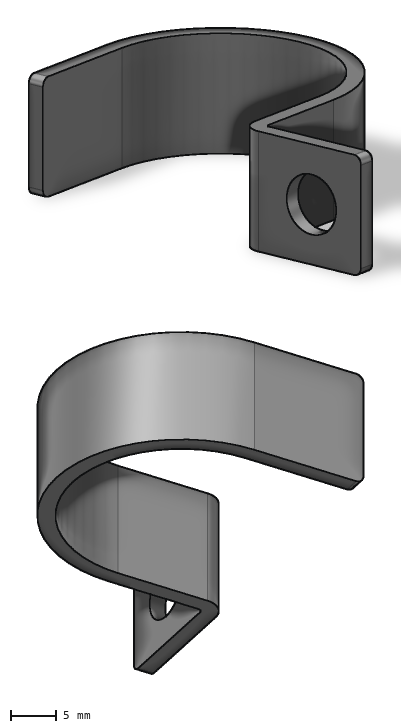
import cadquery as cq

length = 47.0
depth = 30.0
width = 14.0
thickness = 2.0
outer_radius = 16.0
bend_inner_radius = 0.5
corner_radius = 1.0
hole_diameter = 7.0
hole_from_tab_end = 7.0

inner_radius = outer_radius - thickness
bend_outer_radius = bend_inner_radius + thickness
foot_y = outer_radius - depth
tab_top_y = foot_y + thickness
tab_end_x = length - outer_radius
bend_x = outer_radius + bend_inner_radius
bend_y = tab_top_y + bend_inner_radius


def bent_strip():
    """Arch with a free leg on -X and a leg bent out into a tab on +X."""
    return (
        cq.Workplane("XY")
        .moveTo(-outer_radius, foot_y)
        .lineTo(-outer_radius, 0)
        .threePointArc((0, outer_radius), (outer_radius, 0))
        .lineTo(outer_radius, bend_y)
        .radiusArc((bend_x, tab_top_y), -bend_inner_radius)
        .lineTo(tab_end_x, tab_top_y)
        .lineTo(tab_end_x, foot_y)
        .lineTo(bend_x, foot_y)
        .radiusArc((inner_radius, bend_y), bend_outer_radius)
        .lineTo(inner_radius, 0)
        .threePointArc((0, inner_radius), (-inner_radius, 0))
        .lineTo(-inner_radius, foot_y)
        .close()
        .extrude(width / 2, both=True)
    )


def tab_hole():
    """Screw hole through the tab, along Y."""
    return (
        cq.Workplane("XZ", origin=(tab_end_x - hole_from_tab_end, tab_top_y, 0))
        .circle(hole_diameter / 2)
        .extrude(thickness)
    )


strip = bent_strip()

strip = strip.faces(">X").edges("|Y").fillet(corner_radius)
free_leg_end = cq.selectors.NearestToPointSelector((thickness / 2 - outer_radius, foot_y, 0))
strip = strip.faces(free_leg_end).edges("|X").fillet(corner_radius)

result = strip.cut(tab_hole())